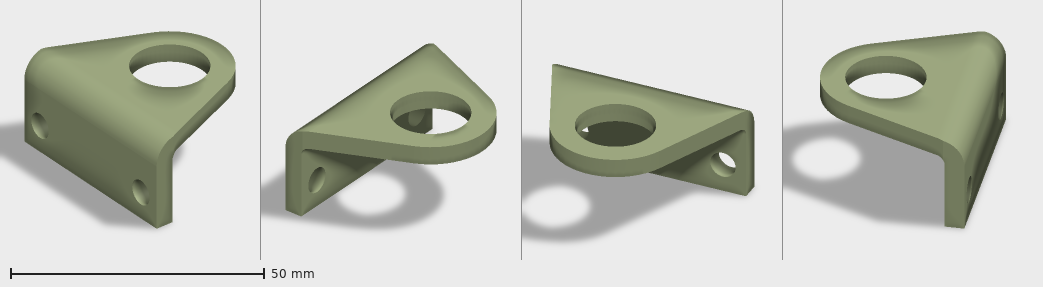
import cadquery as cq
import math

width = 42.0
height = 20.0
thickness = 4.0
bend_outer_radius = 5.6
bend_inner_radius = bend_outer_radius - thickness

lug_center_y = 20.0
lug_radius = 13.0
lug_hole_diameter = 16.1
depth = lug_center_y + lug_radius
taper_start_y = 4.25

mount_hole_diameter = 5.5
mount_hole_spacing = 32.0
mount_hole_z = 6.0


def bent_plate():
    """L-shaped sheet with concentric bend radii, spanning the full width."""
    plate = (
        cq.Workplane("YZ")
        .moveTo(0, 0)
        .lineTo(0, height - bend_outer_radius)
        .radiusArc((bend_outer_radius, height), bend_outer_radius)
        .lineTo(depth, height)
        .lineTo(depth, height - thickness)
        .lineTo(bend_outer_radius, height - thickness)
        .radiusArc((thickness, height - bend_outer_radius), -bend_inner_radius)
        .lineTo(thickness, 0)
        .close()
        .extrude(width / 2, both=True)
    )
    return plate


def plan_outline():
    """Full-height prism whose sides taper tangentially into the lug arc."""
    half_width = width / 2
    corner_drop = lug_center_y - taper_start_y
    corner_distance = math.hypot(half_width, corner_drop)
    tangent_angle = math.acos(lug_radius / corner_distance) - math.atan2(corner_drop, half_width)
    tangent_x = lug_radius * math.cos(tangent_angle)
    tangent_y = lug_center_y + lug_radius * math.sin(tangent_angle)
    return (
        cq.Workplane("XY")
        .moveTo(-half_width, 0)
        .lineTo(half_width, 0)
        .lineTo(half_width, taper_start_y)
        .lineTo(tangent_x, tangent_y)
        .threePointArc((0, depth), (-tangent_x, tangent_y))
        .lineTo(-half_width, taper_start_y)
        .close()
        .extrude(height)
    )


def lug_hole():
    """Vertical cutter for the large hole, concentric with the lug arc."""
    return cq.Workplane("XY").center(0, lug_center_y).circle(lug_hole_diameter / 2).extrude(height)


def mount_holes():
    """Pair of cutters through the vertical leg."""
    half_spacing = mount_hole_spacing / 2
    return (
        cq.Workplane("XZ")
        .pushPoints([(-half_spacing, mount_hole_z), (half_spacing, mount_hole_z)])
        .circle(mount_hole_diameter / 2)
        .extrude(-thickness)
    )


result = bent_plate().intersect(plan_outline()).cut(lug_hole()).cut(mount_holes())